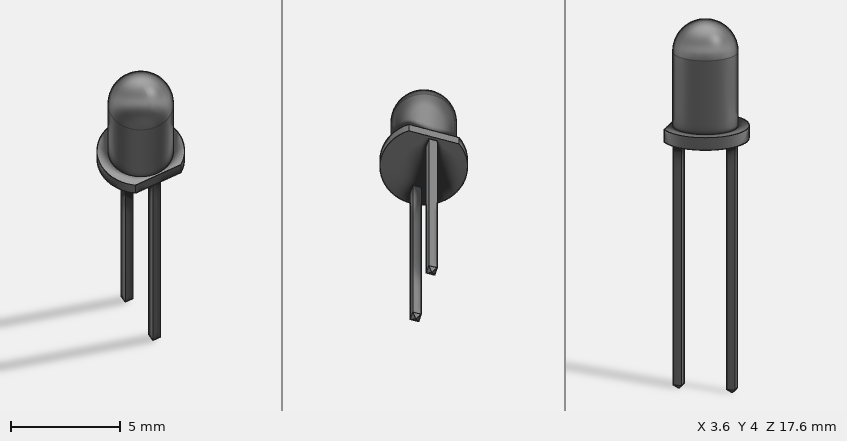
import cadquery as cq

total_height = 17.6
flange_diameter = 4.0
flange_thickness = 0.6
flat_offset = 1.6
lens_radius = 1.5
lens_straight_height = 3.5
lead_width = 0.4
lead_spacing = 2.53
tip_height = 0.2
tip_end_width = 0.02

flange_radius = flange_diameter / 2
lens_height = lens_straight_height + lens_radius
lead_length = total_height - flange_thickness - lens_height


def make_flange():
    """Round base flange, cut flat on its +X side."""
    disc = cq.Workplane("XY").circle(flange_radius).extrude(flange_thickness)
    keep_width = flange_radius + flat_offset
    keep = cq.Workplane("XY").box(
        keep_width, flange_diameter, flange_thickness, centered=(False, True, False)
    )
    return disc.intersect(keep.translate((-flange_radius, 0, 0)))


def make_lens():
    """Cylinder with a hemispherical top, standing on the flange."""
    straight = cq.Workplane("XY").circle(lens_radius).extrude(lens_straight_height)
    dome = cq.Workplane("XY").sphere(lens_radius).translate((0, 0, lens_straight_height))
    return straight.union(dome).translate((0, 0, flange_thickness))


def make_lead(x):
    """Square lead hanging below the flange, with a pyramid tip."""
    shank_length = lead_length - tip_height
    shank = cq.Workplane("XY").center(x, 0).rect(lead_width, lead_width).extrude(-shank_length)
    tip = (
        cq.Workplane("XY", origin=(x, 0, -shank_length))
        .rect(lead_width, lead_width)
        .workplane(offset=-tip_height)
        .rect(tip_end_width, tip_end_width)
        .loft(ruled=True)
    )
    return shank.union(tip)


result = make_flange().union(make_lens())
for side in (-1, 1):
    result = result.union(make_lead(side * lead_spacing / 2))